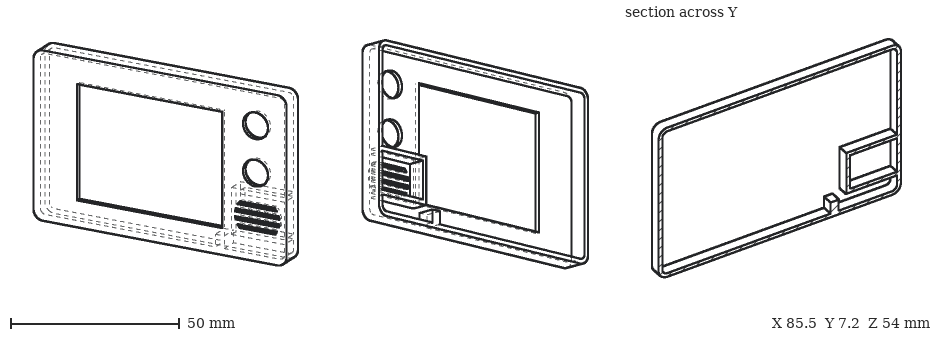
import cadquery as cq

width = 85.5
depth = 7.2
height = 54.0
wall = 1.5
plate = 1.6
corner_radius = 3.2

window_left = 14.75
window_bottom = 8.55
window_width = 49.0
window_height = 36.8

button_diameter = 8.4
button_x = 75.0
button_count = 2
button_pitch = 15.0
lower_button_z = 27.95

grille_x = 75.55
grille_z = 13.85
grille_width = 15.0
grille_end_radius = 6.0
slot_height = 1.0
inner_slot_offset = 1.25
outer_slot_offset = 3.7

housing_left = 66.1
housing_height = 14.9
housing_wall = 1.5

rib_left = 60.6
rib_width = 3.0
rib_top = 5.5


def block(x_min, x_max, y_min, y_max, z_min, z_max):
    """Rectangular block between the given limits."""
    size = (x_max - x_min, y_max - y_min, z_max - z_min)
    return cq.Workplane("XY").box(*size, centered=False).translate((x_min, y_min, z_min))


def make_shell():
    """Rounded tray with a front plate and four side walls."""
    outer = block(0, width, 0, depth, 0, height).edges("|Y").fillet(corner_radius)
    cavity = block(wall, width - wall, plate, depth, wall, height - wall)
    cavity = cavity.edges("|Y").fillet(corner_radius - wall)
    return outer.cut(cavity)


def make_housing():
    """Frame around the speaker, open at the back and towards the grille."""
    right = width - wall
    bottom = grille_z - housing_height / 2
    top = grille_z + housing_height / 2
    frame = block(housing_left, width - wall / 2, plate / 2, depth, bottom, top)
    pocket = block(
        housing_left + housing_wall,
        right,
        plate,
        depth,
        bottom + housing_wall,
        top - housing_wall,
    )
    return frame.cut(pocket)


def make_rib():
    """Rib joined to the bottom wall and the front plate."""
    return block(rib_left, rib_left + rib_width, plate / 2, depth, wall / 2, rib_top)


def make_window():
    """Rectangular opening through the front plate."""
    window_right = window_left + window_width
    window_top = window_bottom + window_height
    return block(window_left, window_right, 0, plate, window_bottom, window_top)


def make_button_hole(z):
    """Round opening through the front plate."""
    return (
        cq.Workplane("XZ")
        .center(button_x, z)
        .circle(button_diameter / 2)
        .extrude(-plate)
    )


def make_grille():
    """Slots through the front plate, trimmed to a rounded outline."""
    outline = (
        cq.Workplane("XZ")
        .center(grille_x, grille_z)
        .slot2D(grille_width, 2 * grille_end_radius)
        .extrude(-plate)
    )
    slot_offsets = (
        -outer_slot_offset,
        -inner_slot_offset,
        inner_slot_offset,
        outer_slot_offset,
    )
    slots = (
        cq.Workplane("XZ")
        .center(grille_x, grille_z)
        .pushPoints([(0, offset) for offset in slot_offsets])
        .rect(grille_width, slot_height)
        .extrude(-plate)
    )
    return outline.intersect(slots)


body = make_shell().union(make_housing()).union(make_rib())
body = body.cut(make_window())
for button_index in range(button_count):
    body = body.cut(make_button_hole(lower_button_z + button_index * button_pitch))
result = body.cut(make_grille())